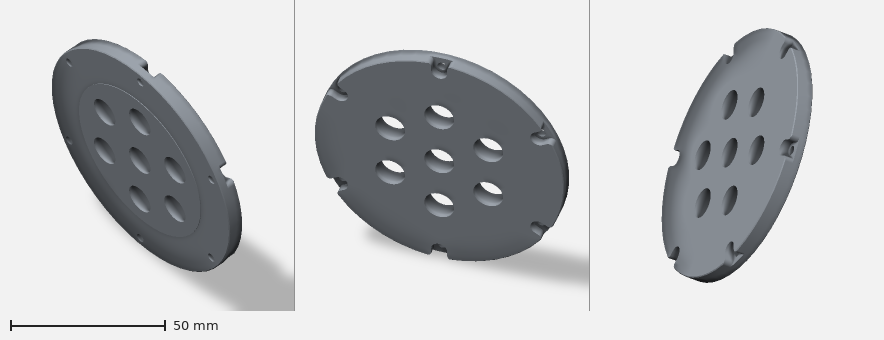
import cadquery as cq
import math

outer_diameter = 85.0
total_thickness = 6.0
rim_chamfer = 0.3

pad_diameter = 58.0
pad_height = 0.21

large_hole_diameter = 10.1
large_hole_ring_radius = 19.3

screw_hole_diameter = 3.1
screw_hole_ring_radius = 39.0
notch_width = 5.4
notch_depth = 3.1
notch_mouth_fillet = 1.5

ring_count = 6
full_turn = 360.0
first_angle = 90.0
ring_step = full_turn / ring_count

outer_radius = outer_diameter / 2
disc_thickness = total_thickness - pad_height
front_y = -total_thickness / 2
disc_front_y = front_y + pad_height
back_y = total_thickness / 2

match_tolerance = 0.01


def cylinder_along_y(diameter, start_y, length):
    """Cylinder on the Y axis, growing from start_y towards +Y."""
    plane = cq.Workplane("XZ", origin=(0, start_y, 0))
    return plane.circle(diameter / 2).extrude(-length)


def ring_of_holes(diameter, ring_radius):
    """Through-cutting cylinders evenly spaced around the Y axis."""
    return (
        cq.Workplane("XZ", origin=(0, front_y, 0))
        .polarArray(ring_radius, first_angle, full_turn, ring_count)
        .circle(diameter / 2)
        .extrude(-total_thickness)
    )


def rim_notch():
    """U-shaped cutter at the +Z side: round floor about the screw hole, open at the rim."""
    half_width = notch_width / 2
    floor_z = screw_hole_ring_radius - half_width
    return (
        cq.Workplane("XZ", origin=(0, back_y - notch_depth, 0))
        .moveTo(-half_width, screw_hole_ring_radius)
        .threePointArc((0, floor_z), (half_width, screw_hole_ring_radius))
        .lineTo(half_width, outer_diameter)
        .lineTo(-half_width, outer_diameter)
        .close()
        .extrude(-notch_depth)
    )


def on_rim(edge):
    """True for an edge whose middle lies on the outer cylinder."""
    middle = edge.Center()
    return abs(math.hypot(middle.x, middle.z) - outer_radius) < match_tolerance


def notched_layer():
    """Back layer of the disc with the notches cut and their mouth corners rounded."""
    layer = cylinder_along_y(outer_diameter, back_y - notch_depth, notch_depth)
    for index in range(ring_count):
        layer = layer.cut(rim_notch().rotate((0, 0, 0), (0, 1, 0), index * ring_step))
    corners = [edge for edge in layer.edges("|Y").vals() if on_rim(edge)]
    return layer.newObject(corners).fillet(notch_mouth_fillet)


def bevelled_envelope():
    """Envelope of the disc with both outer rim edges chamfered."""
    envelope = cylinder_along_y(outer_diameter, disc_front_y, disc_thickness)
    return envelope.faces("<Y or >Y").edges().chamfer(rim_chamfer)


solid_layer = cylinder_along_y(outer_diameter, disc_front_y, disc_thickness - notch_depth)
disc = solid_layer.union(notched_layer(), clean=True).intersect(bevelled_envelope(), clean=True)
pad = cylinder_along_y(pad_diameter, front_y, pad_height)

result = (
    disc.union(pad)
    .cut(cylinder_along_y(large_hole_diameter, front_y, total_thickness))
    .cut(ring_of_holes(large_hole_diameter, large_hole_ring_radius))
    .cut(ring_of_holes(screw_hole_diameter, screw_hole_ring_radius))
)